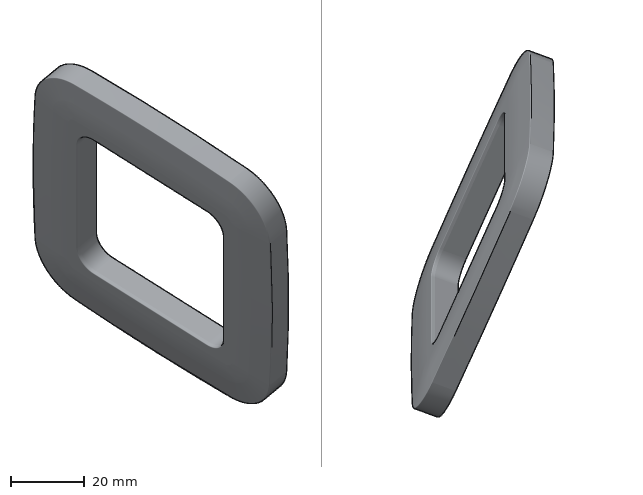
import cadquery as cq
import math

size = 85.9
thickness = 7.8
half = size / 2
front_y = -thickness / 2
back_y = thickness / 2

corner_start = 27.8
side_bow = 0.7

slope_width = 7.05
curve_width = 6.0
crown_drop = 0.9
rim_round = 0.3

opening = 52.1
opening_corner_radius = 5.7
flare_width = 0.2
flare_depth = 1.0
opening_edge_round = 0.3

side_radius = (corner_start**2 + side_bow**2) / (2 * side_bow)
bow_angle = math.asin(corner_start / side_radius)
corner_radius = (half - side_bow - corner_start) / (math.cos(bow_angle) - math.sin(bow_angle))
corner_centre = corner_start - corner_radius * math.sin(bow_angle)


def turned(point, quarter_turns):
    """Turn a point clockwise about the centre by whole quarter turns."""
    x, z = point
    for _ in range(quarter_turns):
        x, z = z, -x
    return x, z


def bowed_outline(inset):
    """Closed outline, parallel to the outer edge, starting at the middle of the top side."""
    radius = corner_radius - inset
    near = corner_centre + radius * math.sin(bow_angle)
    far = corner_centre + radius * math.cos(bow_angle)
    diagonal = corner_centre + radius * math.sqrt(0.5)
    middle = half - inset
    outline = cq.Workplane("XZ", origin=(0, back_y, 0)).moveTo(0, middle)
    quarter_bow = bow_angle / 2
    offset_side_radius = side_radius - inset
    side_x = offset_side_radius * math.sin(quarter_bow)
    side_z = middle - offset_side_radius * (1 - math.cos(quarter_bow))
    outline = outline.threePointArc((side_x, side_z), (near, far))
    for turn in range(4):
        outline = outline.threePointArc(turned((diagonal, diagonal), turn), turned((far, near), turn))
        if turn < 3:
            outline = outline.threePointArc(turned((middle, 0), turn), turned((far, -near), turn))
    outline = outline.threePointArc((-side_x, side_z), (0, middle))
    return outline.close()


def crowned_border():
    """Border section carried round the outline."""
    slope = crown_drop / (slope_width + curve_width / 2)
    slope_angle = math.atan(slope)
    rim_y = front_y + crown_drop
    slope_end_y = rim_y - slope * slope_width
    slope_end_z = half - slope_width
    flat_z = slope_end_z - curve_width
    curve_radius = curve_width / math.sin(slope_angle)
    curve_mid_z = flat_z + curve_radius * math.sin(slope_angle / 2)
    curve_mid_y = front_y + curve_radius * (1 - math.cos(slope_angle / 2))
    section = (
        cq.Workplane("YZ")
        .moveTo(back_y, flat_z)
        .lineTo(back_y, half)
        .lineTo(rim_y, half)
        .lineTo(slope_end_y, slope_end_z)
        .threePointArc((curve_mid_y, curve_mid_z), (front_y, flat_z))
        .close()
    )
    border = section.sweep(bowed_outline(0), transition="right")
    rim = cq.selectors.BoxSelector(
        (-size, rim_y - rim_round, -size), (size, rim_y + rim_round, size)
    )
    rim_edges = [
        edge for edge in border.edges(rim).vals()
        if edge.BoundingBox().ylen < rim_round / 10
    ]
    return border.newObject(rim_edges).fillet(rim_round)


def flat_centre():
    return bowed_outline(slope_width + curve_width).extrude(thickness)


def opening_cutter():
    return (
        cq.Workplane("XZ", origin=(0, back_y, 0))
        .rect(opening, opening)
        .extrude(thickness)
        .edges("|Y")
        .fillet(opening_corner_radius)
    )


def opening_flare():
    """Tapered cutter that widens the opening towards the front face."""
    outline = cq.Sketch().rect(opening, opening).vertices().fillet(opening_corner_radius)
    taper = -math.degrees(math.atan(flare_width / flare_depth))
    return (
        cq.Workplane("XZ", origin=(0, front_y + flare_depth, 0))
        .placeSketch(outline)
        .extrude(flare_depth, taper=taper)
    )


frame = crowned_border().union(flat_centre())
frame = frame.cut(opening_cutter()).cut(opening_flare())

opening_reach = opening / 2 + flare_width + opening_edge_round
opening_edge = cq.selectors.BoxSelector(
    (-opening_reach, front_y - opening_edge_round, -opening_reach),
    (opening_reach, front_y + opening_edge_round, opening_reach),
    boundingbox=True,
)
result = frame.edges(opening_edge).fillet(opening_edge_round)